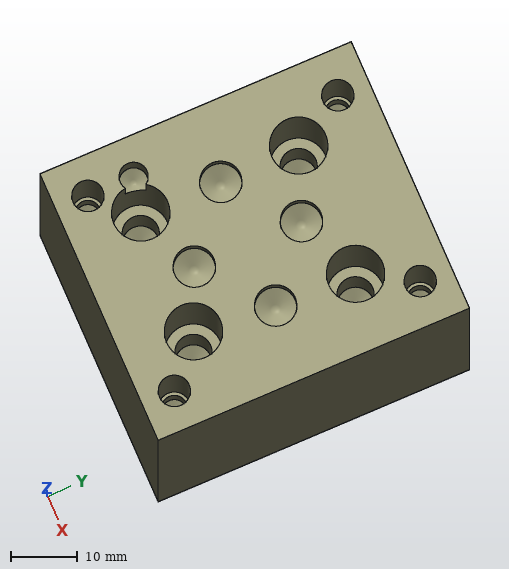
import cadquery as cq
import math

width = 44.45
length = 50.8
height = 44.45
top = height / 2

drill_point_angle = 120.0

bolt_bore = 4.85
bolt_drill = 3.8
bolt_bore_depth = 12.2
bolt_drill_depth = 15.25
rear_bolt_y = 20.25
front_bolt_y = -20.15
rear_bolt_x = 15.5
front_bolt_x = 16.25

cartridge_bore = 8.75
cartridge_drill = 5.6
cartridge_bore_depth = 15.25
cartridge_drill_depth = 22.85
left_cartridge_x = -10.75
rear_right_cartridge_x = 10.6
front_right_cartridge_x = 9.05
rear_cartridge_y = 11.85
front_cartridge_y = -13.9

port_diameter = 6.35
port_depth = 1.85
side_port_x = 10.3
side_port_y = -1.05
rear_port_y = 7.6
front_port_y = -9.85

pin_diameter = 4.35
pin_depth = 4.05
pin_y = -12.7


def drilled_hole(x, y, diameter, depth):
    """Hole down from the top face, ending in a conical drill point."""
    radius = diameter / 2
    point_depth = radius / math.tan(math.radians(drill_point_angle / 2))
    profile = (
        cq.Workplane("XZ")
        .lineTo(radius, 0)
        .lineTo(radius, -depth)
        .lineTo(0, -depth - point_depth)
        .close()
    )
    return profile.revolve(360, (0, 0), (0, 1)).translate((x, y, top))


def stepped_hole(x, y, bore, bore_depth, drill, drill_depth):
    """Flat-bottomed bore with a narrower drilled hole going deeper below it."""
    upper = cq.Workplane("XY", origin=(x, y, top)).circle(bore / 2).extrude(-bore_depth)
    return upper.union(drilled_hole(x, y, drill, drill_depth))


bolt_places = [
    (-rear_bolt_x, rear_bolt_y),
    (rear_bolt_x, rear_bolt_y),
    (-front_bolt_x, front_bolt_y),
    (front_bolt_x, front_bolt_y),
]
cartridge_places = [
    (left_cartridge_x, rear_cartridge_y),
    (rear_right_cartridge_x, rear_cartridge_y),
    (left_cartridge_x, front_cartridge_y),
    (front_right_cartridge_x, front_cartridge_y),
]
port_places = [
    (-side_port_x, side_port_y),
    (side_port_x, side_port_y),
    (0, rear_port_y),
    (0, front_port_y),
]

result = cq.Workplane("XY").box(width, length, height)

for x, y in bolt_places:
    result = result.cut(stepped_hole(x, y, bolt_bore, bolt_bore_depth, bolt_drill, bolt_drill_depth))

for x, y in cartridge_places:
    result = result.cut(
        stepped_hole(x, y, cartridge_bore, cartridge_bore_depth, cartridge_drill, cartridge_drill_depth)
    )

for x, y in port_places:
    result = result.cut(drilled_hole(x, y, port_diameter, port_depth))

result = result.cut(drilled_hole(-front_bolt_x, pin_y, pin_diameter, pin_depth))